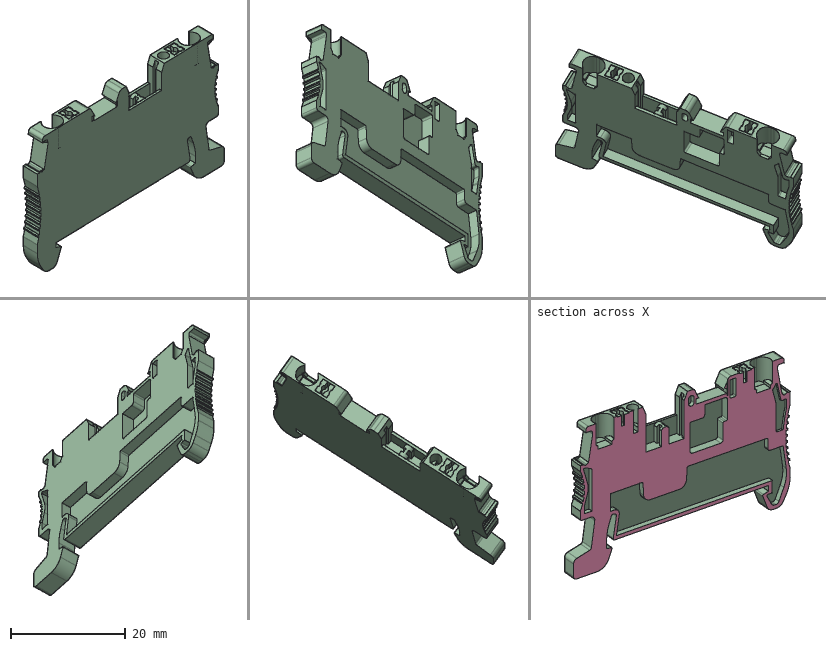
import cadquery as cq
import math

WIDTH = 3.5
HEIGHT = 30.05
SKIN = 0.15
CUT_DEPTH = WIDTH - SKIN

LOWER_POCKET_DEPTH = 1.85
WINDOW_DEPTH = 2.4
SLIM_POCKET_DEPTH = 1.65
FIXED_SIDE_DEPTH = 1.2

CHANNEL_RIM = 24.5
CHANNEL_START = -0.45
CHANNEL_END = 7.7
LEDGE_Z = 26.85
SNAP_Z = 27.85
LEDGE_START = -9.12
LEDGE_END = -3.6
LIP_Z = 28.85
SHOULDER_Z = 22.65
SKIN_TOP_Z = 22.8
POCKET_TOP = 14.8
RAIL_SEAT = 5.15
WALL = 0.85
GROOVE_X = (1.35, 2.15)


def rounded_wire(corners):
    """Closed Y-Z wire from (y, z, radius) corners; a radius above 0 puts a tangent arc in the corner."""
    wire = None
    for i, (y, z, radius) in enumerate(corners):
        before = corners[i - 1]
        after = corners[(i + 1) % len(corners)]
        corner = cq.Vector(y, z)
        to_before = (cq.Vector(before[0], before[1]) - corner).normalized()
        to_after = (cq.Vector(after[0], after[1]) - corner).normalized()
        if radius == 0:
            stops = [corner]
        else:
            half_angle = to_before.getAngle(to_after) / 2
            reach = radius / math.tan(half_angle)
            bulge = radius / math.sin(half_angle) - radius
            bisector = (to_before + to_after).normalized()
            stops = [corner + to_before * reach, corner + bisector * bulge, corner + to_after * reach]
        points = [(p.x, p.y) for p in stops]
        if wire is None:
            wire = cq.Workplane("YZ").moveTo(*points[0])
        else:
            wire = wire.lineTo(*points[0])
        if len(points) > 1:
            wire = wire.threePointArc(points[1], points[2])
    return wire.close()


def plate(corners, depth):
    """Rounded outline extruded from the open face towards +X."""
    return rounded_wire(corners).extrude(depth)


def block(x_range, y_range, z_range):
    """Axis-aligned box between pairs of limits."""
    size = [high - low for low, high in (x_range, y_range, z_range)]
    return cq.Workplane("XY").box(*size, centered=False).translate((x_range[0], y_range[0], z_range[0]))


BODY = [
    (20.58, HEIGHT, 0.45), (8.35, HEIGHT, 0), (CHANNEL_END, 28.45, 0), (CHANNEL_END, CHANNEL_RIM, 0),
    (CHANNEL_START, CHANNEL_RIM, 0), (CHANNEL_START, 28.45, 0), (-1.15, HEIGHT, 0), (-2.7, HEIGHT, 0.95),
    (-3.7, SNAP_Z, 0), (LEDGE_END, SNAP_Z, 0), (LEDGE_END, LEDGE_Z, 0),
    (LEDGE_START, LEDGE_Z, 0), (LEDGE_START, SNAP_Z, 0), (-9.0, SNAP_Z, 0),
    (-10.1, HEIGHT, 0.75), (-21.95, HEIGHT, 0.7), (-22.0, LIP_Z, 0), (-20.58, 28.2, 0),
    (-21.55, SKIN_TOP_Z, 0), (-22.7, SKIN_TOP_Z, 0), (-22.7, SHOULDER_Z, 0), (-23.28, SHOULDER_Z, 0),
    (-23.28, 3.65, 6.5), (-21.3, 0, 1.68), (-18.6, 0, 1.4), (-17.22, 3.72, 0.25), (-18.57, 4.1, 0), (-18.57, RAIL_SEAT, 0),
    (14.85, RAIL_SEAT, 0.45), (14.0, 10.47, 0.45), (15.0, 10.47, 0.2), (16.1, 7.2, 9.3), (16.05, 4.1, 0),
    (14.85, 3.8, 0.2), (16.35, 0, 2.8), (23.28, 0, 0.75), (23.28, 4.05, 0.95), (19.5, 5.05, 0.45),
    (18.6, 11.45, 0.75), (21.85, 11.45, 0.45),
    (21.85, SHOULDER_Z, 0), (21.3, SHOULDER_Z, 0), (21.3, SKIN_TOP_Z, 0), (20.05, SKIN_TOP_Z, 0),
    (19.2, 28.2, 0), (20.58, LIP_Z, 0),
]


TOOTH_HEIGHT = 0.33
TOOTH_BASE = 0.5
TOOTH_TIP = 0.3


def grip_radius(half_length, sag):
    """Radius of the arc with the given half chord and sag."""
    return (half_length ** 2 + sag ** 2) / (2 * sag)


def add_grip(body, edge_y, middle_z, half_length, sag, teeth_z, tooth_count, pitch):
    """Hollow an upright edge with a shallow arc and set a row of small teeth along it."""
    side = math.copysign(1, edge_y)
    radius = grip_radius(half_length, sag)
    center_y = edge_y + side * (radius - sag)
    body = body.cut(cq.Workplane("YZ").center(center_y, middle_z).circle(radius).extrude(WIDTH))
    for i in range(tooth_count):
        z = teeth_z + (i - (tooth_count - 1) / 2) * pitch
        root_y = center_y - side * math.sqrt(radius ** 2 - (z - middle_z) ** 2)
        tip_y = root_y + side * TOOTH_HEIGHT
        buried_y = root_y - side * TOOTH_HEIGHT
        tooth = [
            (buried_y, z - TOOTH_BASE / 2), (root_y, z - TOOTH_BASE / 2), (tip_y, z - TOOTH_TIP / 2),
            (tip_y, z + TOOTH_TIP / 2), (root_y, z + TOOTH_BASE / 2), (buried_y, z + TOOTH_BASE / 2),
        ]
        body = body.union(cq.Workplane("YZ").polyline(tooth).close().extrude(WIDTH))
    return body


def edge_undercuts():
    """Hollows below the lips, above the shoulders and below the snap edges."""
    lips = [
        [(20.58, LIP_Z, 0), (19.23, LIP_Z, 0.35), (19.2, 28.2, 0)],
        [(-22.0, LIP_Z, 0), (-20.65, LIP_Z, 0.35), (-20.58, 28.2, 0)],
    ]
    dip = 0.33
    gullies = [
        [(tower_y, SKIN_TOP_Z, 0), (dip_y, SHOULDER_Z - dip, 0.3), (outer_y, SKIN_TOP_Z, 0)]
        for tower_y, dip_y, outer_y in ((20.05, 20.6, 21.3), (-21.55, -21.95, -22.7))
    ]
    cuts = [plate(corners, CUT_DEPTH) for corners in lips + gullies]
    notch = 0.45
    for start in (LEDGE_END, LEDGE_START - notch):
        cuts.append(block((0, CUT_DEPTH), (start, start + notch), (LEDGE_Z, SNAP_Z)))
    return cuts


LOWER_POCKET = [
    (15.2, POCKET_TOP, 0), (8.4, POCKET_TOP, 0.25), (8.2, 10.75, 1.6), (-1.0, 10.75, 1.6),
    (-1.2, POCKET_TOP, 0.25), (-18.45, POCKET_TOP, 0.25), (-18.45, 12.15, 0.65), (-21.7, 12.15, 0),
    (-22.62, 5.6, 7.0), (-20.6, 0.9, 0.7), (-19.5, 0.9, 0.55), (-18.2, 3.4, 0.2), (-19.4, 3.4, 0),
    (-19.4, RAIL_SEAT + WALL, 0), (13.95, RAIL_SEAT + WALL, 0), (13.17, 11.3, 1.1), (15.2, 11.3, 0),
]
WINDOW = [
    (-1.85, 23.5, 0), (-5.0, 23.5, 0.55), (-5.0, 26.0, 0.25), (-9.75, 26.0, 0.35), (-9.75, 21.35, 0.25),
    (-8.8, 21.35, 0.25), (-8.8, 17.22, 0.45), (-1.85, 17.22, 0.35),
]
SPRUNG_SIDE_POCKET = [
    (21.1, 21.8, 0), (20.65, 21.8, 0.25), (19.3, 21.2, 0.25), (19.3, 12.7, 0), (20.85, 12.7, 0),
    (20.85, 14.2, 0), (19.9, 17.5, 4.2),
]
FIXED_SIDE_POCKET = [
    (-20.4, 25.4, 0.15), (-19.55, 24.15, 0.15), (-20.25, 21.3, 0), (-20.25, 15.5, 0.25), (-21.7, 15.5, 0),
    (-22.05, 17.95, 3.72), (-22.4, 19.55, 0), (-22.4, 21.5, 0.15), (-21.3, 21.25, 0.45),
]
SLOT_POCKET = [(-10.4, 29.25, 0), (-11.55, 29.25, 0), (-11.55, 25.6, 0.2), (-10.4, 25.6, 0.2)]
OBROUND = (-2.05, 27.85)
OBROUND_LENGTH = 2.05
OBROUND_WIDTH = 1.05


def face_pockets():
    """All blind pockets sunk into the X = 0 face."""
    cuts = [plate(corners, SLIM_POCKET_DEPTH) for corners in (SPRUNG_SIDE_POCKET, SLOT_POCKET)]
    cuts.append(plate(FIXED_SIDE_POCKET, FIXED_SIDE_DEPTH))
    cuts.append(plate(LOWER_POCKET, LOWER_POCKET_DEPTH))
    cuts.append(plate(WINDOW, WINDOW_DEPTH))
    obround = cq.Workplane("YZ").center(*OBROUND).slot2D(OBROUND_LENGTH, OBROUND_WIDTH, 90)
    cuts.append(obround.extrude(SLIM_POCKET_DEPTH))
    return cuts


ENTRY_X = 1.55
ENTRY_LENGTH = 4.05
ENTRY_WIDTH = 3.5
SILL_Z = 25.3
BEVEL_HEIGHT = 1.0
END_BEVEL_HEIGHT = 0.45
THROAT_DEPTH = 0.55
THROAT_X = (0.55, 2.65)
THROAT_LENGTH = 2.9
OPENING_LENGTH = 2.85
OPENING_CHAMFER = 0.6


def oval_well(y, bottom_z):
    """Upright oval prism from the top face down to bottom_z."""
    oval = cq.Workplane("XY", origin=(ENTRY_X, y, HEIGHT)).slot2D(ENTRY_LENGTH, ENTRY_WIDTH, 90)
    return oval.extrude(bottom_z - HEIGHT)


def wire_entry(y):
    """Oval well open through the X = 0 face; its ends and far wall close in on a rectangular floor."""
    bevel_z = SILL_Z + BEVEL_HEIGHT
    end_bevel_z = SILL_Z + END_BEVEL_HEIGHT
    floor_z = SILL_Z - THROAT_DEPTH
    well = oval_well(y, bevel_z)

    throat_near, throat_far = THROAT_X
    oval_far = ENTRY_X + ENTRY_WIDTH / 2
    end = ENTRY_LENGTH / 2
    throat_end = THROAT_LENGTH / 2
    bevelled_ends = [
        (y - end, bevel_z, 0), (y - end, end_bevel_z, 0),
        (y - throat_end, SILL_Z, 0), (y - throat_end, floor_z, 0),
        (y + throat_end, floor_z, 0), (y + throat_end, SILL_Z, 0),
        (y + end, end_bevel_z, 0), (y + end, bevel_z, 0),
    ]
    sloped_side = [
        (throat_near, bevel_z), (throat_near, floor_z), (throat_far, floor_z),
        (oval_far, SILL_Z), (oval_far, bevel_z),
    ]
    side_wedge = cq.Workplane("XZ", origin=(0, y, 0)).polyline(sloped_side).close().extrude(end, both=True)
    basin = oval_well(y, floor_z).intersect(plate(bevelled_ends, WIDTH)).intersect(side_wedge)

    half = OPENING_LENGTH / 2
    foot = half - OPENING_CHAMFER
    opening = [
        (y - half, HEIGHT, 0), (y - half, bevel_z, 0), (y - foot, SILL_Z, 0),
        (y + foot, SILL_Z, 0), (y + half, bevel_z, 0), (y + half, HEIGHT, 0),
    ]
    return [well, basin, plate(opening, throat_near)]


BUTTON_X = 1.7
BUTTON_WIDTH = 2.55
BUTTON_LENGTH = 2.45
BUTTON_SINK = 0.2
TAB_WIDTH = 0.65
TAB_LENGTH = 0.15
GROOVE_WIDTH = 0.6
GROOVE_BULGE = 1.2
GROOVE_DEPTH = 2.35


def release_button(y):
    """Slightly sunk panel with a tab at both ends, crossed by a deep groove that widens in the middle."""
    top = cq.Workplane("XY", origin=(BUTTON_X, y, HEIGHT))
    tabs = top.rect(TAB_WIDTH, BUTTON_LENGTH).extrude(-BUTTON_SINK)
    tabs = tabs.cut(top.rect(TAB_WIDTH, BUTTON_LENGTH - 2 * TAB_LENGTH).extrude(-BUTTON_SINK))
    return [
        top.rect(BUTTON_WIDTH, BUTTON_LENGTH).extrude(-BUTTON_SINK).cut(tabs),
        top.rect(BUTTON_WIDTH, GROOVE_WIDTH).extrude(-GROOVE_DEPTH),
        top.circle(GROOVE_BULGE / 2).extrude(-GROOVE_DEPTH),
    ]


TEST_HOLE = (1.75, 9.85)
TEST_HOLE_DIAMETER = 2.1
TEST_HOLE_DEPTH = 4.65
TEST_STEP_Y = 9.5
TEST_STEP_HEIGHT = 0.95


def test_hole():
    """Round hole whose floor has a straight step."""
    radius = TEST_HOLE_DIAMETER / 2
    hole = cq.Workplane("XY", origin=(*TEST_HOLE, HEIGHT)).circle(radius).extrude(-TEST_HOLE_DEPTH)
    floor = HEIGHT - TEST_HOLE_DEPTH
    step = block((0, WIDTH), (TEST_HOLE[1] - radius, TEST_STEP_Y), (floor, floor + TEST_STEP_HEIGHT))
    return hole.cut(step)


CHANNEL_X = (0.55, 3.0)
CHANNEL_FLOOR = 20.75
GROOVE_RUN = (CHANNEL_START - 0.35, CHANNEL_END + 0.5)
CONTACT_Y = (2.75, 4.4)
CONTACT_CROWN = 0.45
CONTACT_NOTCH = 0.55


def bridge_channel():
    """Deep channel with end grooves, leaving a crowned H-shaped contact standing in it."""
    channel = block(CHANNEL_X, (CHANNEL_START, CHANNEL_END), (CHANNEL_FLOOR, CHANNEL_RIM))
    groove = block(GROOVE_X, GROOVE_RUN, (CHANNEL_FLOOR, HEIGHT))
    low_y, high_y = CONTACT_Y
    contact = (
        cq.Workplane("YZ", origin=(CHANNEL_X[0], 0, 0))
        .moveTo(low_y, CHANNEL_FLOOR)
        .lineTo(low_y, CHANNEL_RIM - CONTACT_CROWN)
        .threePointArc(((low_y + high_y) / 2, CHANNEL_RIM), (high_y, CHANNEL_RIM - CONTACT_CROWN))
        .lineTo(high_y, CHANNEL_FLOOR)
        .close()
        .extrude(CHANNEL_X[1] - CHANNEL_X[0])
    )
    for start in (low_y, high_y - CONTACT_NOTCH):
        contact = contact.cut(block(GROOVE_X, (start, start + CONTACT_NOTCH), (CHANNEL_FLOOR, CHANNEL_RIM)))
    return channel.union(groove).cut(contact)


result = plate(BODY, WIDTH)
result = add_grip(result, edge_y=21.85, middle_z=17.5, half_length=4.0, sag=0.9,
                  teeth_z=17.5, tooth_count=5, pitch=1.2)
result = add_grip(result, edge_y=-23.28, middle_z=13.6, half_length=6.4, sag=0.9,
                  teeth_z=13.3, tooth_count=8, pitch=1.25)

cutters = edge_undercuts() + face_pockets()
for entry_y in (16.53, -17.55):
    cutters += wire_entry(entry_y)
for button_y in (12.6, -13.65):
    cutters += release_button(button_y)
cutters += [test_hole(), bridge_channel()]
for cutter in cutters:
    result = result.cut(cutter)